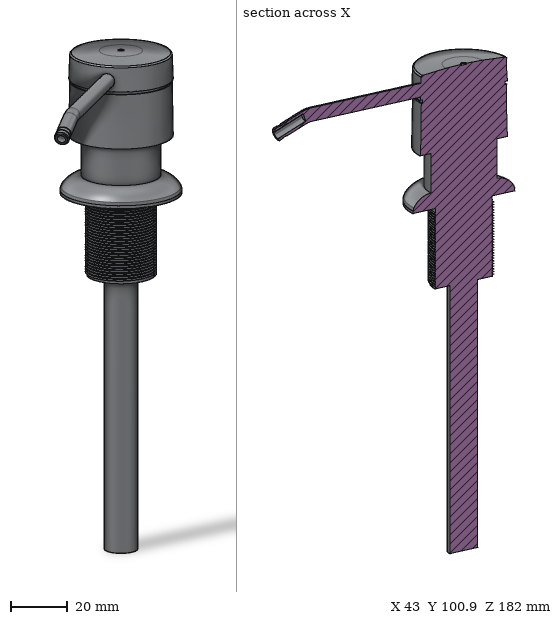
import cadquery as cq
import math

TOTAL_HEIGHT = 182.0
SHANK_BOTTOM = 100.1
FLANGE_BOTTOM = 130.1
NECK_BOTTOM = 136.5
COLLAR_BOTTOM = 151.0
CAP_BOTTOM = 171.8
CAP_SHOULDER = 181.0
BUTTON_EDGE = 181.8

TUBE_RADIUS = 11.8 / 2
SHANK_RADIUS = 12.0
THREAD_RADIUS = 12.5
THREAD_TOP = 129.2
THREAD_PITCH = 1.0
THREAD_BASE = 0.9 * THREAD_PITCH
THREAD_EMBED = 0.2

FLANGE_RADIUS = 21.5
FLANGE_BAND = 1.1
FLANGE_RIM_HEIGHT = 1.1
FLANGE_RIM_INSET = 0.4
FLANGE_DOME_RADIUS = 9.1

NECK_RADIUS = 14.0
HEAD_RADIUS = 18.4
HEAD_DRAFT = 0.4
GROOVE_HEIGHT = 1.1
GROOVE_DEPTH = 0.5
CAP_ROUND = 0.5
BUTTON_RADIUS = 7.6
PINHOLE_RADIUS = 1.1
PINHOLE_DEPTH = 0.4

SPOUT_RADIUS = 5.3 / 2
SPOUT_HEIGHT = 175.6
SPOUT_STRAIGHT = 63.9
BEND_ANGLE = 20.0
BEND_RADIUS = 9.1
NOZZLE_LENGTH = 12.4
TIP_GROOVE_START = 8.7
TIP_GROOVE_LENGTH = 1.6
TIP_GROOVE_DEPTH = 0.2
TIP_CHAMFER = 0.4
BORE_RADIUS = 1.5


def make_body():
    """Everything round about Z except the thread, as one revolved outline."""
    top_radius = HEAD_RADIUS - HEAD_DRAFT
    groove_bottom = CAP_BOTTOM - GROOVE_HEIGHT
    band_top = FLANGE_BOTTOM + FLANGE_BAND
    rim_top = band_top + FLANGE_RIM_HEIGHT
    rim_radius = FLANGE_RADIUS - FLANGE_RIM_INSET
    outline = (
        cq.Workplane("XZ")
        .moveTo(0, 0)
        .lineTo(TUBE_RADIUS, 0)
        .lineTo(TUBE_RADIUS, SHANK_BOTTOM)
        .lineTo(SHANK_RADIUS, SHANK_BOTTOM)
        .lineTo(SHANK_RADIUS, FLANGE_BOTTOM)
        .lineTo(FLANGE_RADIUS, FLANGE_BOTTOM)
        .lineTo(FLANGE_RADIUS, band_top)
        .lineTo(rim_radius, rim_top)
        .radiusArc((NECK_RADIUS, NECK_BOTTOM), -FLANGE_DOME_RADIUS)
        .lineTo(NECK_RADIUS, COLLAR_BOTTOM)
        .lineTo(HEAD_RADIUS, COLLAR_BOTTOM)
        .lineTo(top_radius, groove_bottom)
        .lineTo(top_radius - GROOVE_DEPTH, groove_bottom)
        .lineTo(top_radius - GROOVE_DEPTH, CAP_BOTTOM)
        .lineTo(HEAD_RADIUS, CAP_BOTTOM)
        .lineTo(top_radius, CAP_SHOULDER - CAP_ROUND)
        .lineTo(top_radius - CAP_ROUND, CAP_SHOULDER)
        .lineTo(BUTTON_RADIUS, BUTTON_EDGE)
        .lineTo(PINHOLE_RADIUS, TOTAL_HEIGHT)
        .lineTo(0, TOTAL_HEIGHT)
        .close()
    )
    return outline.revolve(360, (0, 0, 0), (0, 1, 0))


def make_thread():
    """A V-shaped ridge wound round the shank, with its roots sunk just below the surface."""
    inner = SHANK_RADIUS - THREAD_EMBED
    half_base = THREAD_BASE / 2
    start = SHANK_BOTTOM + half_base
    helix = cq.Wire.makeHelix(THREAD_PITCH, THREAD_TOP - half_base - start, inner)
    ridge = (
        cq.Workplane("XZ")
        .polyline([(inner, -half_base), (THREAD_RADIUS, 0), (inner, half_base)])
        .close()
        .sweep(cq.Workplane(obj=helix), isFrenet=True)
    )
    return ridge.translate((0, 0, start))


def make_spout():
    """A round tube along -Y with a downward bend, a grooved tip and a bored end."""
    angle = math.radians(BEND_ANGLE)
    bend_end = (
        -SPOUT_STRAIGHT - BEND_RADIUS * math.sin(angle),
        SPOUT_HEIGHT - BEND_RADIUS * (1 - math.cos(angle)),
    )
    arm = (
        cq.Workplane("XZ", origin=(0, 0, SPOUT_HEIGHT))
        .circle(SPOUT_RADIUS)
        .extrude(SPOUT_STRAIGHT)
    )
    bend = (
        cq.Workplane("XZ", origin=(0, -SPOUT_STRAIGHT, SPOUT_HEIGHT))
        .circle(SPOUT_RADIUS)
        .revolve(BEND_ANGLE, (-1.8, -BEND_RADIUS, 0), (1.8, -BEND_RADIUS, 0))
    )
    nozzle_axis = cq.Plane(
        origin=(0, *bend_end),
        xDir=(1, 0, 0),
        normal=(0, -math.cos(angle), -math.sin(angle)),
    )
    nozzle = cq.Workplane(nozzle_axis).circle(SPOUT_RADIUS).extrude(NOZZLE_LENGTH)
    nozzle = nozzle.faces("<Y").edges().chamfer(TIP_CHAMFER)
    groove = (
        cq.Workplane(nozzle_axis)
        .workplane(offset=TIP_GROOVE_START)
        .circle(SPOUT_RADIUS)
        .circle(SPOUT_RADIUS - TIP_GROOVE_DEPTH)
        .extrude(TIP_GROOVE_LENGTH)
    )
    bore = cq.Workplane(nozzle_axis).circle(BORE_RADIUS).extrude(NOZZLE_LENGTH)
    return arm.union(bend).union(nozzle).cut(groove).cut(bore)


def make_pinhole():
    """The shallow hole at the centre of the cap."""
    return (
        cq.Workplane("XY", origin=(0, 0, TOTAL_HEIGHT - PINHOLE_DEPTH))
        .circle(PINHOLE_RADIUS)
        .extrude(PINHOLE_DEPTH)
    )


result = make_body().union(make_spout()).cut(make_pinhole()).union(make_thread())